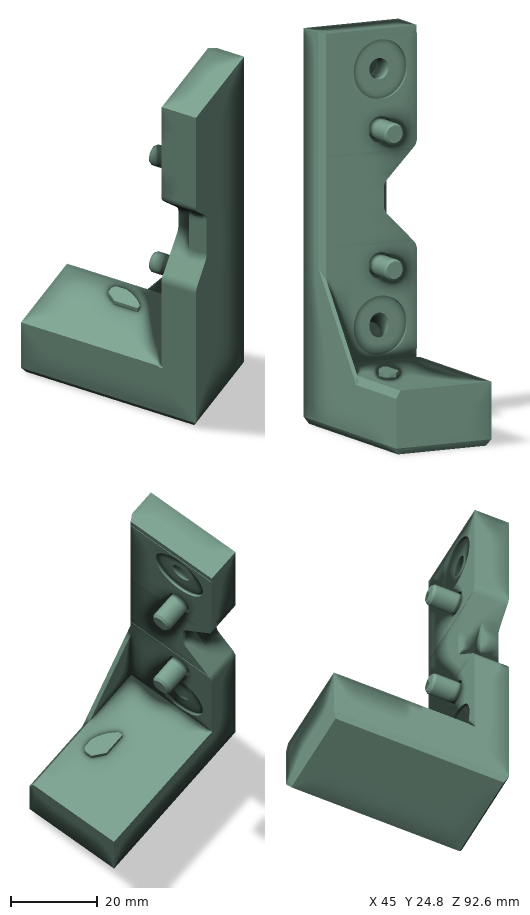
import cadquery as cq
import math

LENGTH = 45.0
WIDTH = 24.8
HEIGHT = 92.6
FOOT_HEIGHT = 15.1
PAD_X = 36.1
PAD_RELIEF = 0.1
WALL_X = PAD_X + PAD_RELIEF

BEVEL_ANGLE = 30.0
BASE_BEVEL_HEIGHT = 1.6
BEVEL_LENGTH = 1.85
BEVEL_INSET = BEVEL_LENGTH * math.tan(math.radians(BEVEL_ANGLE))

GROOVE_DEPTH = 0.3
GROOVE_RAMP = 1.1
GROOVE_FLAT = 0.4

GUSSET_FOOT_X = 20.9
GUSSET_TOP_Z = 35.2

NOTCH_Z = 53.1
NOTCH_MOUTH = 23.5
NOTCH_DEPTH = 8.6
NOTCH_REAR_DEPTH = 5.6
NOTCH_STEP = 4.35
NOTCH_FILLET = 3.0
NOTCH_FLANK_ANGLE = 45.0
PAD_GAP = 21.9
PAD_BOTTOM_Z = 16.85
PAD_TOP_Z = 90.75

HOLE_Y = 9.5
SCREW_OFFSET = 30.0
SPOT_DIAMETER = 14.0
SPOT_DEPTH = 0.7
SCREW_DIAMETER = 5.0
SCREW_DEPTH = 6.5
SCREW_END_BEVEL = 0.2
TILTED_DEPTH = 4.4
TILT = 30.0

PIN_OFFSET = 15.9
PIN_DIAMETER = 5.0
PIN_REACH = 6.9
PIN_SEAT = 6.9
PIN_BEVEL_LENGTH = 0.65
PIN_BEVEL_DEPTH = 0.5
SEAT_WIDTH = 5.65
SEAT_HEIGHT = 6.2
SEAT_DEPTH = 1.0

MARK_HEIGHT = 1.2
MARK_LEFT = 13.7
MARK_RIGHT = 22.4
MARK_FRONT = 15.3
MARK_REAR = 20.2
MARK_RIGHT_SIDE = 1.1
MARK_FRONT_LEFT = 16.5
MARK_LEFT_FRONT = 17.5
MARK_REAR_RIGHT = 17.0
MARK_BOW = (20.1, 18.6)
MARK_CORNER_RADIUS = 1.3


def box(x, y, z):
    """Box between the (low, high) limits along each axis."""
    size = (x[1] - x[0], y[1] - y[0], z[1] - z[0])
    return cq.Workplane("XY").box(*size, centered=False).translate((x[0], y[0], z[0]))


def facing_plane(x, z):
    """Plane on the hole line at height z, with its normal pointing into the upright."""
    return cq.Workplane("YZ", origin=(x, HOLE_Y, z))


def foot_and_upright():
    base = (
        cq.Workplane("XY", origin=(LENGTH / 2, WIDTH / 2, BASE_BEVEL_HEIGHT))
        .rect(LENGTH, WIDTH)
        .extrude(-BASE_BEVEL_HEIGHT, taper=BEVEL_ANGLE)
    )
    foot = (
        cq.Workplane("YZ")
        .moveTo(0, BASE_BEVEL_HEIGHT)
        .lineTo(WIDTH, BASE_BEVEL_HEIGHT)
        .lineTo(WIDTH, FOOT_HEIGHT - BEVEL_LENGTH)
        .lineTo(WIDTH - BEVEL_INSET, FOOT_HEIGHT)
        .lineTo(0, FOOT_HEIGHT)
        .close()
        .extrude(LENGTH)
    )
    upright = (
        cq.Workplane("XY", origin=(0, 0, BASE_BEVEL_HEIGHT))
        .moveTo(PAD_X, 0)
        .lineTo(LENGTH, 0)
        .lineTo(LENGTH, WIDTH)
        .lineTo(PAD_X + BEVEL_LENGTH, WIDTH)
        .lineTo(PAD_X, WIDTH - BEVEL_INSET)
        .close()
        .extrude(HEIGHT - BASE_BEVEL_HEIGHT)
    )
    return base.union(foot).union(upright)


def gusset():
    slope = (GUSSET_TOP_Z - FOOT_HEIGHT) / (PAD_X - GUSSET_FOOT_X)
    low_z = FOOT_HEIGHT - BEVEL_LENGTH
    high_x = PAD_X + BEVEL_LENGTH
    return (
        cq.Workplane("XZ", origin=(0, WIDTH, 0))
        .moveTo(GUSSET_FOOT_X - BEVEL_LENGTH / slope, low_z)
        .lineTo(high_x, low_z)
        .lineTo(high_x, GUSSET_TOP_Z + BEVEL_LENGTH * slope)
        .close()
        .extrude(BEVEL_INSET)
    )


def marker():
    """Low boss on the foot with a rounded corner and one bowed side."""
    corner_bow = MARK_CORNER_RADIUS * (1 - math.sqrt(0.5))
    return (
        cq.Workplane("XY", origin=(0, 0, FOOT_HEIGHT))
        .moveTo(MARK_FRONT_LEFT, MARK_FRONT)
        .lineTo(MARK_RIGHT, MARK_FRONT)
        .lineTo(MARK_RIGHT, MARK_FRONT + MARK_RIGHT_SIDE)
        .threePointArc(MARK_BOW, (MARK_REAR_RIGHT, MARK_REAR))
        .lineTo(MARK_LEFT + MARK_CORNER_RADIUS, MARK_REAR)
        .threePointArc(
            (MARK_LEFT + corner_bow, MARK_REAR - corner_bow),
            (MARK_LEFT, MARK_REAR - MARK_CORNER_RADIUS),
        )
        .lineTo(MARK_LEFT, MARK_LEFT_FRONT)
        .close()
        .extrude(MARK_HEIGHT)
    )


def pad_relief():
    """Cuts that leave two raised pads on the front of the upright."""
    inner_y = (0, WIDTH - BEVEL_INSET)
    bands = (
        (FOOT_HEIGHT, PAD_BOTTOM_Z),
        (NOTCH_Z - PAD_GAP / 2, NOTCH_Z + PAD_GAP / 2),
        (PAD_TOP_Z, HEIGHT),
    )
    cut = cq.Workplane("XY")
    for band in bands:
        cut = cut.union(box((PAD_X, WALL_X), inner_y, band))
    return cut


def corner_groove():
    floor_z = FOOT_HEIGHT - GROOVE_DEPTH
    back_x = PAD_X + GROOVE_DEPTH
    top_z = FOOT_HEIGHT + 2 * GROOVE_DEPTH
    return (
        cq.Workplane("XZ")
        .moveTo(PAD_X - GROOVE_FLAT - GROOVE_RAMP, FOOT_HEIGHT)
        .lineTo(PAD_X - GROOVE_FLAT, floor_z)
        .lineTo(back_x, floor_z)
        .lineTo(back_x, top_z)
        .lineTo(PAD_X, top_z)
        .lineTo(PAD_X, FOOT_HEIGHT)
        .close()
        .extrude(-(WIDTH - BEVEL_INSET))
    )


def notch(x, thickness, depth):
    """Trapezoidal notch with 45 degree flanks and rounded corners, open toward -Y."""
    mouth = NOTCH_MOUTH / 2
    floor = mouth - depth
    half_turn = math.radians(NOTCH_FLANK_ANGLE) / 2
    tangent = NOTCH_FILLET * math.tan(half_turn)
    leg = tangent * math.sqrt(0.5)
    bow = NOTCH_FILLET * (1 - math.cos(half_turn))
    rise = NOTCH_FILLET * math.sin(half_turn)
    profile = (
        cq.Workplane("YZ", origin=(x, 0, NOTCH_Z))
        .moveTo(0, -mouth - tangent)
        .threePointArc((bow, rise - mouth - tangent), (leg, leg - mouth))
        .lineTo(depth - leg, -floor - leg)
        .threePointArc((depth - bow, tangent - floor - rise), (depth, tangent - floor))
        .lineTo(depth, floor - tangent)
        .threePointArc((depth - bow, rise + floor - tangent), (depth - leg, floor + leg))
        .lineTo(leg, mouth - leg)
        .threePointArc((bow, mouth + tangent - rise), (0, mouth + tangent))
        .close()
    )
    return profile.extrude(thickness)


def screw_holes():
    upper_z = NOTCH_Z + SCREW_OFFSET
    lower_z = NOTCH_Z - SCREW_OFFSET
    cut = facing_plane(PAD_X, upper_z).circle(SCREW_DIAMETER / 2).extrude(SCREW_DEPTH)
    cut = cut.faces(">X").chamfer(SCREW_END_BEVEL)
    tilted = (
        facing_plane(-SCREW_DIAMETER / 2, 0)
        .circle(SCREW_DIAMETER / 2)
        .extrude(SCREW_DIAMETER / 2 + TILTED_DEPTH)
        .rotate((0, 0, 0), (0, 1, 0), TILT)
        .translate((PAD_X + SPOT_DEPTH, 0, lower_z))
    )
    cut = cut.union(tilted)
    for z in (lower_z, upper_z):
        cut = cut.union(facing_plane(PAD_X, z).circle(SPOT_DIAMETER / 2).extrude(SPOT_DEPTH))
    return cut


def pin_hole(z):
    """Blind seat for one pin with a shallow flattened recess at its mouth."""
    hole = facing_plane(PAD_X, z).circle(PIN_DIAMETER / 2).extrude(PIN_SEAT)
    recess = facing_plane(PAD_X, z).circle(SEAT_HEIGHT / 2).extrude(SEAT_DEPTH)
    flats = facing_plane(PAD_X, z).rect(SEAT_WIDTH, SEAT_HEIGHT).extrude(SEAT_DEPTH)
    return hole.union(recess.intersect(flats))


def dowel_pin(z):
    radius = PIN_DIAMETER / 2
    tip = PAD_X - PIN_REACH
    return (
        cq.Workplane("XY")
        .moveTo(tip, 0)
        .lineTo(tip, radius - PIN_BEVEL_DEPTH)
        .lineTo(tip + PIN_BEVEL_LENGTH, radius)
        .lineTo(PAD_X + PIN_SEAT, radius)
        .lineTo(PAD_X + PIN_SEAT, 0)
        .close()
        .revolve(360, (0, 0, 0), (1, 0, 0))
        .translate((0, HOLE_Y, z))
    )


pin_heights = (NOTCH_Z - PIN_OFFSET, NOTCH_Z + PIN_OFFSET)

bracket = (
    foot_and_upright()
    .cut(pad_relief())
    .cut(corner_groove())
    .union(gusset())
    .union(marker())
    .cut(notch(PAD_X, NOTCH_STEP, NOTCH_DEPTH))
    .cut(notch(PAD_X, LENGTH - PAD_X, NOTCH_REAR_DEPTH))
    .cut(screw_holes())
)
for height in pin_heights:
    bracket = bracket.cut(pin_hole(height))

pins = [dowel_pin(height) for height in pin_heights]

result = cq.Compound.makeCompound([bracket.val(), *[pin.val() for pin in pins]])